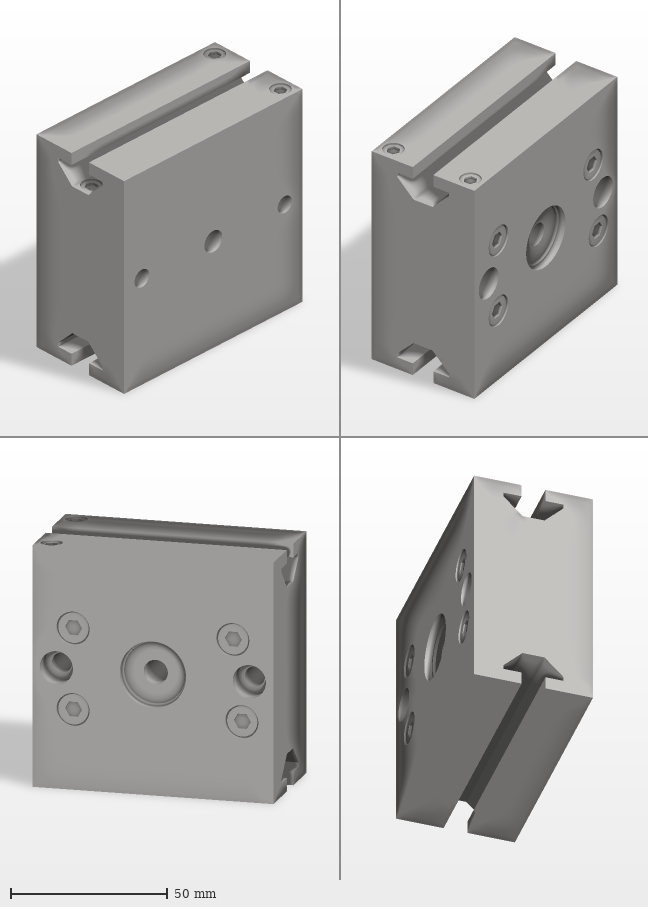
import cadquery as cq
import math

WIDTH = 40.0
LENGTH = 80.0
HEIGHT = 80.0
SIDE_X = -WIDTH / 2
TOP_Z = HEIGHT / 2

SLOT_NECK_WIDTH = 8.0
SLOT_WIDTH = 20.2
SLOT_FLOOR_WIDTH = 7.4
SLOT_LIP_THICKNESS = 4.5
SLOT_DEPTH = 12.4
SLOT_FLANK_HEIGHT = (SLOT_WIDTH - SLOT_FLOOR_WIDTH) / 2

HEAD_GAP_DEPTH = 1.0

SIDE_SCREW_BORE = 11.0
SIDE_SCREW_HEAD = 10.0
SIDE_SCREW_SINK = 0.5
SIDE_HEX_FLATS = 5.0
SIDE_HEX_DEPTH = 1.0
SIDE_SCREW_Z = 13.5
SIDE_SCREW_Y = 26.5
OFFSET_SCREW_Y = -29.5
SIDE_SCREWS = [
    (SIDE_SCREW_Y, SIDE_SCREW_Z),
    (-SIDE_SCREW_Y, SIDE_SCREW_Z),
    (SIDE_SCREW_Y, -SIDE_SCREW_Z),
    (OFFSET_SCREW_Y, -SIDE_SCREW_Z),
]

TOP_SCREW_BORE = 7.2
TOP_SCREW_HEAD = 7.0
TOP_SCREW_SINK = 0.5
TOP_HEX_FLATS = 4.0
TOP_HEX_DEPTH = 1.0
TOP_SCREW_X = 15.0
TOP_SCREW_Y = 35.0

MOUNT_BORE = 11.0
MOUNT_BORE_DEPTH = 6.8
MOUNT_HOLE = 6.6
MOUNT_Y = 32.0
NARROW_HOLE = 6.3
NARROW_START_DEPTH = WIDTH / 2

RECESS_DIAMETER = 22.0
RECESS_DEPTH = 2.5
RECESS_STEP_DIAMETER = 20.5
RECESS_STEP_DEPTH = 1.0
CENTER_HOLE = 8.0


def side_plane(y=0.0, z=0.0, depth=0.0):
    """Workplane parallel to the -X face, at a depth inside it; extrusion runs into the part."""
    plane = cq.Plane(origin=(SIDE_X + depth, y, z), xDir=(0, -1, 0), normal=(1, 0, 0))
    return cq.Workplane(plane)


def down_plane(x, y, z):
    """Horizontal workplane whose extrusion runs downwards."""
    return cq.Workplane(cq.Plane(origin=(x, y, z), xDir=(1, 0, 0), normal=(0, 0, -1)))


def hexagon(workplane, flats, depth):
    corner_diameter = flats / math.cos(math.pi / 6)
    return workplane.polygon(6, corner_diameter).extrude(depth)


def top_slot():
    """Full-length T-slot of the top face."""
    lip_z = TOP_Z - SLOT_LIP_THICKNESS
    floor_z = TOP_Z - SLOT_DEPTH
    half_profile = [
        (SLOT_NECK_WIDTH / 2, TOP_Z),
        (SLOT_NECK_WIDTH / 2, lip_z),
        (SLOT_WIDTH / 2, lip_z),
        (SLOT_WIDTH / 2, floor_z + SLOT_FLANK_HEIGHT),
        (SLOT_FLOOR_WIDTH / 2, floor_z),
    ]
    mirrored = [(-x, z) for x, z in reversed(half_profile)]
    profile = cq.Workplane("XZ").polyline(half_profile + mirrored).close()
    return profile.extrude(LENGTH / 2, both=True)


def side_screw(y, z):
    """Sunken screw head, the ring gap around it and its hexagon socket."""
    bore = side_plane(y, z).circle(SIDE_SCREW_BORE / 2).extrude(SIDE_SCREW_SINK)
    ring = side_plane(y, z, SIDE_SCREW_SINK).circle(SIDE_SCREW_BORE / 2).circle(SIDE_SCREW_HEAD / 2)
    gap = ring.extrude(HEAD_GAP_DEPTH)
    socket = hexagon(side_plane(y, z, SIDE_SCREW_SINK), SIDE_HEX_FLATS, SIDE_HEX_DEPTH)
    return bore.union(gap).union(socket)


def vertical_screw(x, y, z):
    """Sunken screw head, the narrow ring gap around it and its hexagon socket."""
    bore = down_plane(x, y, z).circle(TOP_SCREW_BORE / 2).extrude(TOP_SCREW_SINK)
    head_z = z - TOP_SCREW_SINK
    ring = down_plane(x, y, head_z).circle(TOP_SCREW_BORE / 2).circle(TOP_SCREW_HEAD / 2)
    gap = ring.extrude(HEAD_GAP_DEPTH)
    socket = hexagon(down_plane(x, y, head_z), TOP_HEX_FLATS, TOP_HEX_DEPTH)
    return bore.union(gap).union(socket)


def mount_hole(y, exit_diameter):
    """Counterbored through hole; its far half has the given exit diameter."""
    bore = side_plane(y).circle(MOUNT_BORE / 2).extrude(MOUNT_BORE_DEPTH)
    near_hole = side_plane(y).circle(MOUNT_HOLE / 2).extrude(NARROW_START_DEPTH)
    far_hole = side_plane(y).circle(exit_diameter / 2).extrude(WIDTH)
    return bore.union(near_hole).union(far_hole)


def center_recess():
    recess = side_plane().circle(RECESS_DIAMETER / 2).extrude(RECESS_DEPTH)
    step = side_plane(depth=RECESS_DEPTH).circle(RECESS_STEP_DIAMETER / 2).extrude(RECESS_STEP_DEPTH)
    hole = side_plane().circle(CENTER_HOLE / 2).extrude(WIDTH)
    return recess.union(step).union(hole)


body = cq.Workplane("XY").box(WIDTH, LENGTH, HEIGHT)

slot = top_slot()
body = body.cut(slot).cut(slot.mirror("XY"))

for screw_y, screw_z in SIDE_SCREWS:
    body = body.cut(side_screw(screw_y, screw_z))

for screw_x in (-TOP_SCREW_X, TOP_SCREW_X):
    body = body.cut(vertical_screw(screw_x, TOP_SCREW_Y, TOP_Z))
body = body.cut(vertical_screw(0, -TOP_SCREW_Y, TOP_Z - SLOT_DEPTH))

body = body.cut(mount_hole(-MOUNT_Y, MOUNT_HOLE))
body = body.cut(mount_hole(MOUNT_Y, NARROW_HOLE))

result = body.cut(center_recess())